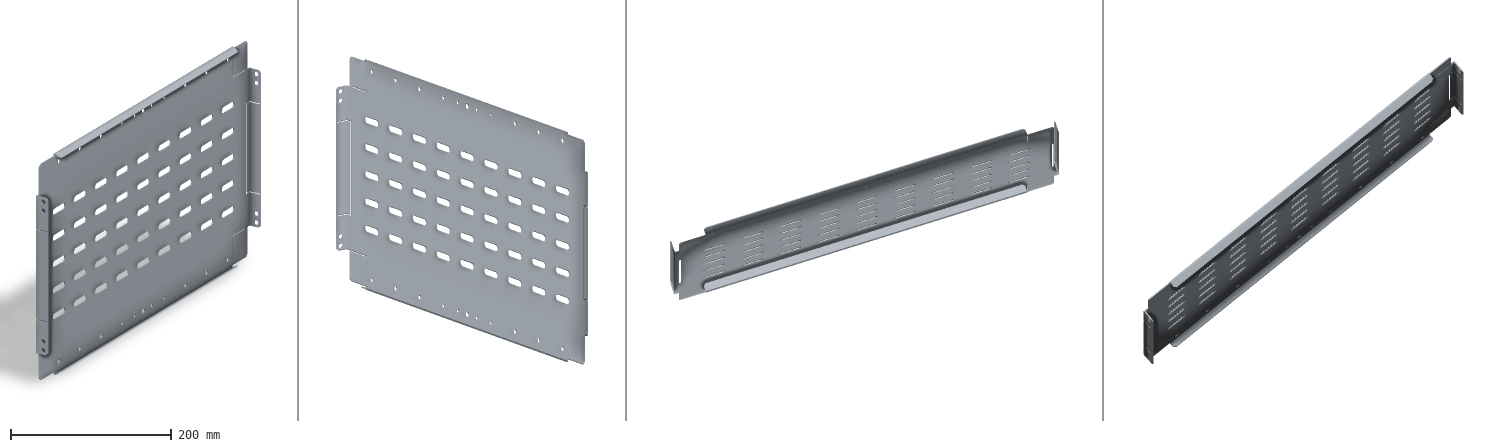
import cadquery as cq
import math

SHEET = 1.5
LENGTH = 505.5
HEIGHT = 298.93
FLANGE_DEPTH = 17.5

PANEL_LENGTH = 491.5
PANEL_HEIGHT = 291.0
PANEL_CORNER_CHAMFER = 3.0

FLANGE_HEIGHT = 212.0
FLANGE_CORNER_CHAMFER = 3.0
FLANGE_HOLE_DIAMETER = 6.0
FLANGE_HOLE_X = 11.0
FLANGE_HOLE_HEIGHTS = (88.0, 100.0)

LIP_LENGTH = 422.0
LIP_FLAP = 10.0
LIP_SLOPE = math.radians(30)
LIP_CORNER_CHAMFER = 3.0

SLIT_WIDTH = 1.5
SLIT_BRIDGE = 2.75

WINDOW_HEIGHT = 123.0
WINDOW_INNER_Y = 243.0
WINDOW_OUTER_Y = 246.0
FLANGE_BRIDGE = 1.0

SLOT_LENGTH = 29.0
SLOT_HEIGHT = 8.6
SLOT_COLUMNS = 9
SLOT_ROWS = 5
SLOT_PITCH_Y = 50.0
SLOT_PITCH_Z = 35.25

HOLE_ROW_Z = 135.0
MIDDLE_HOLE_DIAMETER = 7.0
HOLE_PAIRS = ((20.0, 5.0), (50.0, 5.0), (100.0, 6.0), (150.0, 6.0), (200.0, 6.0))


def block(x_range, y_range, z_range):
    """Box spanning the given ranges along X, Y and Z."""
    spans = (x_range, y_range, z_range)
    sizes = [high - low for low, high in spans]
    lows = tuple(low for low, high in spans)
    return cq.Workplane("XY").box(*sizes, centered=False).translate(lows)


def mirrored_pair(solid, plane):
    """The solid together with its mirror image."""
    return solid.union(solid.mirror(plane))


def make_panel():
    """Flat panel with bevelled corners, reaching out to the end flanges."""
    half_length = PANEL_LENGTH / 2
    half_height = PANEL_HEIGHT / 2
    half_overall = LENGTH / 2
    half_flange = FLANGE_HEIGHT / 2
    panel = block((0, SHEET), (-half_length, half_length), (-half_height, half_height))
    panel = panel.edges("|X").chamfer(PANEL_CORNER_CHAMFER)
    middle = block((0, SHEET), (-half_overall, half_overall), (-half_flange, half_flange))
    return panel.union(middle)


def make_flange():
    """Flange at the +Y end with four holes and bevelled free corners."""
    outer_y = LENGTH / 2
    half = FLANGE_HEIGHT / 2
    flange = block((0, FLANGE_DEPTH), (outer_y - SHEET, outer_y), (-half, half))
    flange = flange.edges("|Y and >X").chamfer(FLANGE_CORNER_CHAMFER)
    hole_places = [(FLANGE_HOLE_X, sign * z) for z in FLANGE_HOLE_HEIGHTS for sign in (-1, 1)]
    holes = (
        cq.Workplane("XZ", origin=(0, outer_y, 0))
        .pushPoints(hole_places)
        .circle(FLANGE_HOLE_DIAMETER / 2)
        .extrude(SHEET)
    )
    return flange.cut(holes)


def make_lip():
    """Upper lip: an upright capped by a sloping flap, with a bevelled fold and bevelled free corners."""
    root_z = FLANGE_HEIGHT / 2
    along_x = LIP_FLAP * math.cos(LIP_SLOPE)
    along_z = -LIP_FLAP * math.sin(LIP_SLOPE)
    crest_x = SHEET + SHEET * math.sin(LIP_SLOPE)
    crest_z = HEIGHT / 2
    fold_z = crest_z - SHEET * math.cos(LIP_SLOPE)
    lip = (
        cq.Workplane("XZ")
        .moveTo(0, root_z)
        .lineTo(0, fold_z)
        .lineTo(crest_x, crest_z)
        .lineTo(crest_x + along_x, crest_z + along_z)
        .lineTo(SHEET + along_x, fold_z + along_z)
        .lineTo(SHEET, fold_z)
        .lineTo(SHEET, root_z)
        .close()
        .extrude(LIP_LENGTH / 2, both=True)
    )
    free_end = cq.selectors.BoxSelector(
        (SHEET + along_x, -LENGTH, 0), (FLANGE_DEPTH, LENGTH, HEIGHT)
    )
    return lip.edges(free_end).edges("not |Y").chamfer(LIP_CORNER_CHAMFER)


def make_corner_slits():
    """Two slits along the inner sides of the upper corner patch at the +Y end."""
    side_y = LIP_LENGTH / 2
    base_z = FLANGE_HEIGHT / 2
    upright = block(
        (0, SHEET),
        (side_y, side_y + SLIT_WIDTH),
        (base_z + SLIT_WIDTH + SLIT_BRIDGE, PANEL_HEIGHT / 2 - SLIT_BRIDGE),
    )
    level = block(
        (0, SHEET), (side_y, PANEL_LENGTH / 2 - SLIT_BRIDGE), (base_z, base_z + SLIT_WIDTH)
    )
    return upright.union(level)


def make_flange_openings():
    """Window beside the +Y flange, with slits running from its ends to near the flange's free edge."""
    half = WINDOW_HEIGHT / 2
    window = block((0, SHEET), (WINDOW_INNER_Y, WINDOW_OUTER_Y), (-half, half))
    slit = block(
        (0, FLANGE_DEPTH - FLANGE_BRIDGE), (WINDOW_OUTER_Y, LENGTH / 2), (half - SLIT_WIDTH, half)
    )
    return window.union(mirrored_pair(slit, "XY"))


def make_slots():
    """Grid of slots with round ends."""
    return (
        cq.Workplane("YZ")
        .rarray(SLOT_PITCH_Y, SLOT_PITCH_Z, SLOT_COLUMNS, SLOT_ROWS)
        .slot2D(SLOT_LENGTH, SLOT_HEIGHT)
        .extrude(SHEET)
    )


def make_hole_row():
    """Upper row of mounting holes."""
    row = cq.Workplane("YZ", origin=(0, 0, HOLE_ROW_Z))
    holes = row.circle(MIDDLE_HOLE_DIAMETER / 2).extrude(SHEET)
    for distance, diameter in HOLE_PAIRS:
        places = [(-distance, 0), (distance, 0)]
        holes = holes.union(row.pushPoints(places).circle(diameter / 2).extrude(SHEET))
    return holes


part = make_panel()
part = part.union(mirrored_pair(make_flange(), "XZ"))
part = part.union(mirrored_pair(make_lip(), "XY"))
part = part.cut(mirrored_pair(make_corner_slits(), "XY"))
part = part.cut(mirrored_pair(make_flange_openings(), "XZ"))
part = part.cut(make_slots())
part = part.cut(mirrored_pair(make_hole_row(), "XY"))

result = part